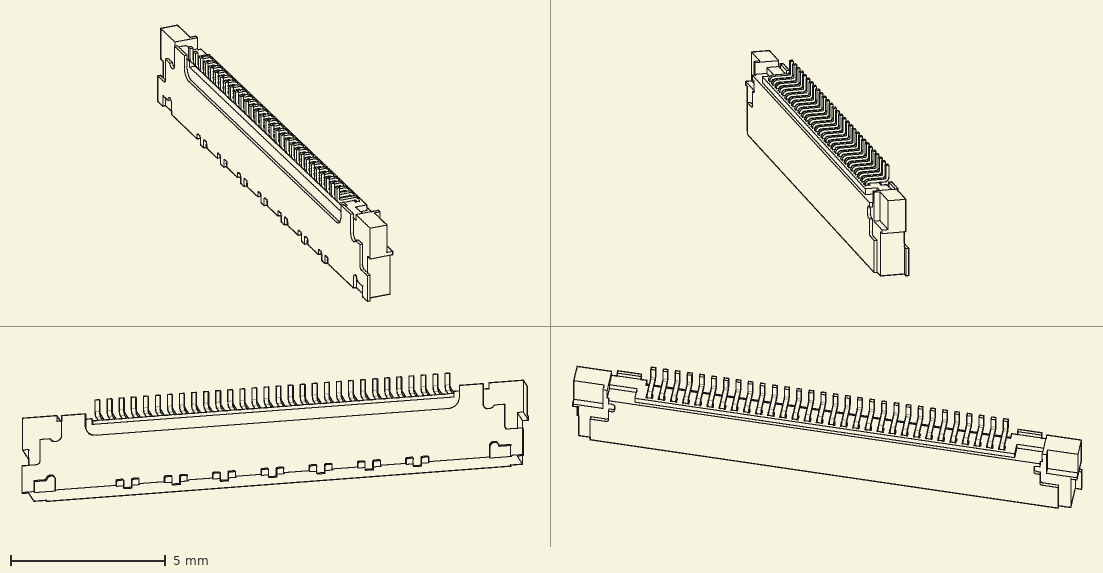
import cadquery as cq

length = 16.6
depth = 1.0
height = 3.1
half_length = length / 2

sheet = 0.1
housing_front = sheet
housing_back = depth - sheet

base_z = 0.1
housing_top = 2.5
ear_top = 2.7
ear_inner_x = 7.16
ear_bottom = 1.6
side_inset = 0.2
lug_top = 1.72
rear_notch_inner_x = 7.3
rear_notch_y = 0.7

recess_floor = 2.3
corner_recess_inner_x = 6.25
corner_recess_y = 0.5
trough_half_length = 6.0
trough_back_y = 0.3

relief_radius = 0.2
plate_shoulder_x = 7.7
plate_step_z = 1.02
plate_step_fillet = 0.12
plate_shoulder_z = 1.88
tab_outer_x = 6.98
tab_inner_x = 6.2
tab_top = 2.65
window_sill_z = plate_shoulder_z
window_corner_radius = 0.36
front_relief_x = tab_outer_x + relief_radius
front_relief_z = 1.97

end_notch_outer_x = 7.9
end_notch_inner_x = 7.2
end_notch_top = 0.48
end_notch_relief_radius = 0.15
foot_count = 7
foot_pitch = 1.6
foot_width = 0.26
foot_notch_width = 0.25
foot_notch_top = 0.3
foot_notch_radius = 0.05

rear_half_length = 7.7
rear_wall_x = 7.1
rear_ledge_z = 1.19
side_slot_bottom = 1.74
side_slot_top = 2.14
side_slot_depth = 0.2
rear_fillet = 0.1

contact_count = 30
contact_pitch = 0.4
contact_width = 0.15
bend_outer_radius = 0.15
bend_inner_radius = bend_outer_radius - sheet
arm_clearance = 0.05
contact_bend_y = 0.65
contact_root_z = 2.2
well_width = 0.2
well_floor = 2.3


def box(x0, x1, y0, y1, z0, z1):
    """Box given by its limits along each axis."""
    return cq.Workplane("XY").box(x1 - x0, y1 - y0, z1 - z0, centered=False).translate((x0, y0, z0))


def both_ends(shape):
    """Join a shape at the -X end with its mirror image at the +X end."""
    return shape.union(shape.mirror("YZ"))


def cross_pin(x, z, radius, y0):
    """Cylinder along Y, one sheet long, starting at y0."""
    return cq.Workplane("XZ", origin=(x, y0, z)).circle(radius).extrude(-sheet)


def make_housing():
    """Long block with a raised ear at each end and recesses in its top."""
    body_half = half_length - side_inset
    body = box(-body_half, body_half, housing_front, housing_back, base_z, housing_top)
    ear = box(-half_length, -ear_inner_x, housing_front, housing_back, ear_bottom, ear_top)
    body = body.union(both_ends(ear))

    rear_notch = box(-half_length, -rear_notch_inner_x, rear_notch_y, housing_back, lug_top, ear_top)
    corner_recess = box(
        -ear_inner_x, -corner_recess_inner_x, corner_recess_y, housing_back, recess_floor, housing_top
    )
    trough = box(
        -trough_half_length, trough_half_length, housing_front, trough_back_y, recess_floor, housing_top
    )
    return body.cut(both_ends(rear_notch)).cut(both_ends(corner_recess)).cut(trough)


def make_front_plate_blank():
    """Front plate with its stepped ends, upright tabs and wide window between the tabs."""
    left_half = (
        cq.Workplane("XZ")
        .moveTo(0, base_z)
        .lineTo(-half_length, base_z)
        .lineTo(-half_length, plate_step_z)
        .lineTo(-plate_shoulder_x - plate_step_fillet, plate_step_z)
        .radiusArc((-plate_shoulder_x, plate_step_z + plate_step_fillet), -plate_step_fillet)
        .lineTo(-plate_shoulder_x, plate_shoulder_z)
        .lineTo(-front_relief_x, plate_shoulder_z)
        .lineTo(-front_relief_x, front_relief_z)
        .lineTo(-tab_outer_x, front_relief_z)
        .lineTo(-tab_outer_x, tab_top)
        .lineTo(-tab_inner_x, tab_top)
        .lineTo(-tab_inner_x, window_sill_z + window_corner_radius)
        .radiusArc((-tab_inner_x + window_corner_radius, window_sill_z), -window_corner_radius)
        .lineTo(0, window_sill_z)
        .close()
        .extrude(-sheet)
    )
    relief = cross_pin(-front_relief_x, front_relief_z, relief_radius, 0)
    return both_ends(left_half.cut(relief))


def cut_end_notches(plate):
    """Notch with a round relief near each lower corner of the plate."""
    notch = box(-end_notch_outer_x, -end_notch_inner_x, 0, sheet, base_z, end_notch_top)
    relief_x = -end_notch_inner_x - end_notch_relief_radius
    relief = cross_pin(relief_x, end_notch_top, end_notch_relief_radius, 0)
    return plate.cut(both_ends(notch.union(relief)))


def add_feet(plate):
    """Feet below the lower edge, each between two round-topped notches."""
    notch_offset = (foot_width + foot_notch_width) / 2
    for i in range(foot_count):
        x = (i - (foot_count - 1) / 2) * foot_pitch
        for side in (-1, 1):
            notch_x = x + side * notch_offset
            notch = box(
                notch_x - foot_notch_width / 2, notch_x + foot_notch_width / 2, 0, sheet, 0, foot_notch_top
            )
            plate = plate.cut(notch.edges("|Y and >Z").fillet(foot_notch_radius))
        plate = plate.union(box(x - foot_width / 2, x + foot_width / 2, 0, sheet, 0, foot_notch_top))
    return plate


def make_rear_plate():
    """Rear plate, narrowed above a ledge at each end and slotted from the side."""
    plate = box(-rear_half_length, rear_half_length, housing_back, depth, base_z, recess_floor)
    shoulder = box(-rear_half_length, -rear_wall_x, housing_back, depth, rear_ledge_z, recess_floor)
    shoulder = shoulder.edges("|Y and >X and <Z").fillet(rear_fillet)
    slot_end_x = -rear_wall_x + side_slot_depth
    slot = box(-rear_half_length, slot_end_x, housing_back, depth, side_slot_bottom, side_slot_top)
    slot = slot.edges("|Y and >X").fillet(rear_fillet)
    return plate.cut(both_ends(shoulder.union(slot)))


def make_contact(x):
    """Bent strip: solder tail up the front, flat arm over the housing, curl down at the back."""
    arm_bottom = housing_top + arm_clearance
    arm_top = arm_bottom + sheet
    tail_bend_z = arm_bottom + bend_outer_radius
    root_bend_z = arm_top - bend_outer_radius
    return (
        cq.Workplane("YZ", origin=(x - contact_width / 2, 0, 0))
        .moveTo(0, height)
        .lineTo(0, tail_bend_z)
        .radiusArc((bend_outer_radius, arm_bottom), -bend_outer_radius)
        .lineTo(contact_bend_y, arm_bottom)
        .radiusArc((contact_bend_y + bend_inner_radius, root_bend_z), bend_inner_radius)
        .lineTo(contact_bend_y + bend_inner_radius, contact_root_z)
        .lineTo(contact_bend_y + bend_outer_radius, contact_root_z)
        .lineTo(contact_bend_y + bend_outer_radius, root_bend_z)
        .radiusArc((contact_bend_y, arm_top), -bend_outer_radius)
        .lineTo(bend_outer_radius, arm_top)
        .radiusArc((sheet, tail_bend_z), bend_inner_radius)
        .lineTo(sheet, height)
        .close()
        .extrude(contact_width)
    )


def make_contact_well(x):
    """Well that the curled end of a contact drops into."""
    well_back_y = contact_bend_y + bend_outer_radius
    return box(x - well_width / 2, x + well_width / 2, contact_bend_y, well_back_y, well_floor, housing_top)


front_plate = add_feet(cut_end_notches(make_front_plate_blank()))
result = make_housing().union(front_plate).union(make_rear_plate())
for index in range(contact_count):
    contact_x = (index - (contact_count - 1) / 2) * contact_pitch
    result = result.cut(make_contact_well(contact_x)).union(make_contact(contact_x))